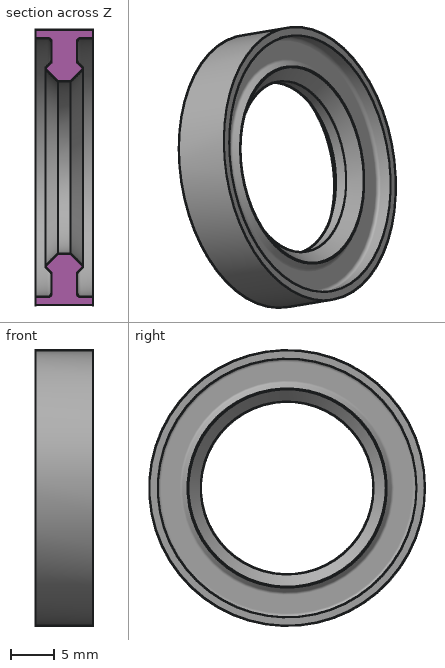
import cadquery as cq

ring_width = 6.7
outer_radius = 16.0
rim_inner_radius = 15.0
bore_radius = 10.0

web_thickness = 3.0
land_width = 1.5
lip_height = 0.7
lip_tip_width = 0.1
root_fillet_radius = 0.4

half_width = ring_width / 2
half_web = web_thickness / 2
half_land = land_width / 2

lip_tip_x = half_web + lip_height
crest_inner_radius = bore_radius + lip_tip_x - half_land
crest_outer_radius = crest_inner_radius + lip_tip_width
lip_root_radius = crest_outer_radius + lip_height


def side_profile(side):
    """Points (x, radius) from the bore land to the outer rim; side is -1 or +1."""
    return [
        (side * half_land, bore_radius),
        (side * lip_tip_x, crest_inner_radius),
        (side * lip_tip_x, crest_outer_radius),
        (side * half_web, lip_root_radius),
        (side * half_web, rim_inner_radius),
        (side * half_width, rim_inner_radius),
        (side * half_width, outer_radius),
    ]


def make_sharp_ring():
    """Revolve the whole section around the X axis."""
    section = side_profile(-1) + side_profile(1)[::-1]
    return cq.Workplane("XY").polyline(section).close().revolve(360, (0, 0, 0), (1, 0, 0))


def circle_edges_at(x, radius):
    """Selector for the circular edge lying at a given x and radius."""
    tolerance = 0.01
    reach = radius + tolerance
    inside = radius - tolerance

    def matches(edge):
        box = edge.BoundingBox()
        return abs(box.center.x - x) < tolerance and inside < box.zmax < reach

    return matches


def round_edge(body, x, radius, fillet_radius):
    """Fillet the circular edge at a given x and radius."""
    matches = circle_edges_at(x, radius)
    edges = [edge for edge in body.edges("%CIRCLE").vals() if matches(edge)]
    return body.newObject(edges).fillet(fillet_radius)


result = make_sharp_ring()
for side in (-1, 1):
    result = round_edge(result, side * half_web, rim_inner_radius, root_fillet_radius)
    result = round_edge(result, side * half_web, lip_root_radius, root_fillet_radius)